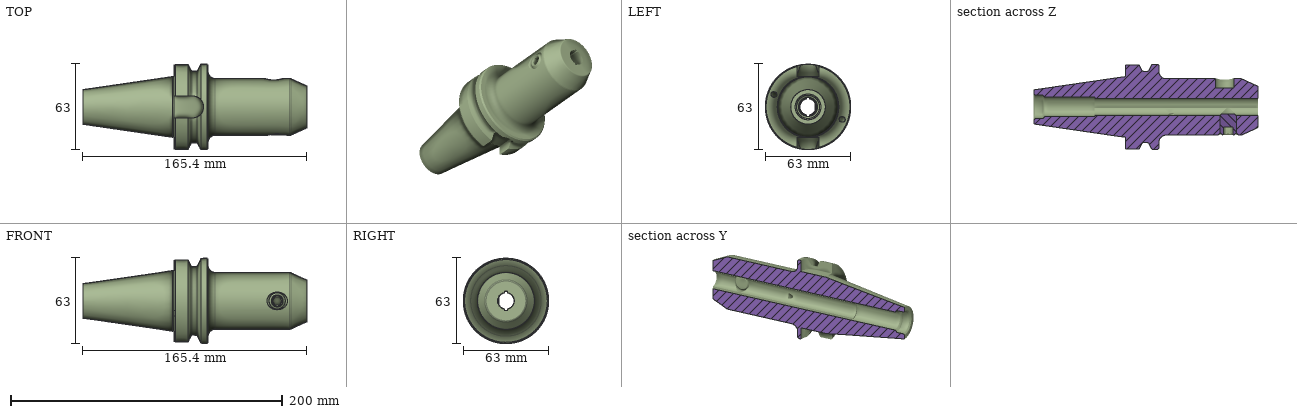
import cadquery as cq
import math

total_length = 165.4
taper_length = 66.3
taper_ratio = 7 / 24
taper_small_radius = 12.75
taper_large_radius = taper_small_radius + taper_length * taper_ratio / 2
relief_depth = 0.3
relief_rise = 0.6
relief_arc_radius = 1.2
flange_start = 67.4
flange_width = 25.0
flange_end = flange_start + flange_width
flange_radius = 63.0 / 2
flange_chamfer = 1.0
wide_flange_radius = 31.3
wide_flange_drop = 0.4
groove_radius = 53.0 / 2
groove_left_top = 77.6
groove_floor_start = 80.0
groove_floor_end = 84.4
groove_right_top = 87.0
groove_fillet = 1.0
body_radius = 42.0 / 2
body_fillet = 5.0
nose_start = 152.9
nose_end_radius = 15.3
nose_rounding = 1.0
shoulder_rounding = 2.0

ring_tolerance = 0.1

slot_width = 16.1
slot_floor = 22.6
slot_end = 89.0

mouth_radius = 19.0 / 2
mouth_chamfer = 1.0
counterbore_radius = 17.0 / 2
counterbore_depth = 6.7
thread_bore_radius = 14.0 / 2
thread_bore_end = 45.0
tool_bore_radius = 12.0 / 2
coolant_slot_width = 2.0
coolant_slot_radius = 7.0

coolant_hole_radius = 2.0
coolant_hole_circle = 26.8
coolant_hole_angle = 20.0
coolant_hole_slope = 30.0

screw_x = 143.3
screw_radius = 12.0 / 2
screw_head_height = 20.8
screw_tip_height = 5.0
screw_head_chamfer = 1.6
screw_tip_chamfer = 1.2
hex_size = 6.0
hex_depth = 6.0
hex_lead_in_radius = 4.0
screw_countersink_radius = 7.55

balance_hole_x = 140.8
balance_hole_radius = 13.4 / 2
balance_hole_floor = 14.0


def round_ring_edges(blank, first_x, last_x, radius):
    """Fillet the circular edges centred on the axis between two X positions."""
    ring_centres = cq.selectors.BoxSelector(
        (first_x - ring_tolerance, -ring_tolerance, -ring_tolerance),
        (last_x + ring_tolerance, ring_tolerance, ring_tolerance),
    )
    return blank.edges(ring_centres).fillet(radius)


def build_blank():
    """Turned outline of the taper, flange and cylindrical body."""
    relief_radius = taper_large_radius - relief_depth
    chamfer_radius = flange_radius - flange_chamfer
    fillet_side = body_fillet * (1 - math.sqrt(0.5))
    outline = (
        cq.Workplane("XY")
        .moveTo(0, 0)
        .lineTo(0, taper_small_radius)
        .lineTo(taper_length, taper_large_radius)
        .lineTo(taper_length, relief_radius)
        .radiusArc((flange_start, relief_radius + relief_rise), -relief_arc_radius)
        .lineTo(flange_start, wide_flange_radius - wide_flange_drop)
        .lineTo(flange_start + flange_chamfer, wide_flange_radius)
        .lineTo(groove_left_top, wide_flange_radius)
        .lineTo(groove_floor_start, groove_radius)
        .lineTo(groove_floor_end, groove_radius)
        .lineTo(groove_right_top, flange_radius)
        .lineTo(flange_end - flange_chamfer, flange_radius)
        .lineTo(flange_end, chamfer_radius)
        .lineTo(flange_end, body_radius + body_fillet)
        .threePointArc(
            (flange_end + fillet_side, body_radius + fillet_side),
            (flange_end + body_fillet, body_radius),
        )
        .lineTo(nose_start, body_radius)
        .lineTo(total_length, nose_end_radius)
        .lineTo(total_length, 0)
        .close()
    )
    blank = outline.revolve(360, (0, 0, 0), (1, 0, 0))
    blank = blank.faces(">X").edges().fillet(nose_rounding)
    blank = round_ring_edges(blank, groove_floor_start, groove_floor_end, groove_fillet)
    return round_ring_edges(blank, nose_start, nose_start, shoulder_rounding)


def build_bore():
    """Stepped bore from the taper end through to the nose."""
    lead_in_length = counterbore_radius - thread_bore_radius
    profile = (
        cq.Workplane("XY")
        .moveTo(0, 0)
        .lineTo(0, mouth_radius)
        .lineTo(mouth_chamfer, counterbore_radius)
        .lineTo(counterbore_depth, counterbore_radius)
        .lineTo(counterbore_depth + lead_in_length, thread_bore_radius)
        .lineTo(thread_bore_end, thread_bore_radius)
        .lineTo(thread_bore_end, tool_bore_radius)
        .lineTo(total_length, tool_bore_radius)
        .lineTo(total_length, 0)
        .close()
    )
    return profile.revolve(360, (0, 0, 0), (1, 0, 0))


def build_coolant_slots():
    """Narrow slots above and below the tool bore, open at the nose."""
    length = total_length - thread_bore_end
    return cq.Workplane("XY").box(
        length, coolant_slot_width, 2 * coolant_slot_radius
    ).translate((thread_bore_end + length / 2, 0, 0))


def build_key_slot():
    """Round-ended key slot on the +Z side of the flange."""
    end_radius = slot_width / 2
    straight_end = slot_end - end_radius
    return (
        cq.Workplane("XY", origin=(0, 0, slot_floor))
        .moveTo(taper_length, -end_radius)
        .lineTo(straight_end, -end_radius)
        .threePointArc((slot_end, 0), (straight_end, end_radius))
        .lineTo(taper_length, end_radius)
        .close()
        .extrude(flange_radius)
    )


def build_coolant_hole():
    """Inclined drilling from the flange face at +Y inward to the bore."""
    slope = math.radians(coolant_hole_slope)
    direction = cq.Vector(math.cos(slope), -math.sin(slope), 0)
    length = (coolant_hole_circle - tool_bore_radius) / math.sin(slope)
    lead = 2 * coolant_hole_radius
    face_point = cq.Vector(flange_start, coolant_hole_circle, 0)
    start = face_point - direction * lead
    hole = cq.Solid.makeCylinder(coolant_hole_radius, length + lead, start, direction)
    return cq.Workplane(hole).rotate((0, 0, 0), (1, 0, 0), coolant_hole_angle)


def point_to_minus_y(shape, x):
    """Turn a shape built along +Z so that it points along -Y at the given X."""
    return shape.rotate((0, 0, 0), (1, 0, 0), 90).translate((x, 0, 0))


def cone(height, base_radius, top_radius, base_height):
    base = cq.Vector(0, 0, base_height)
    return cq.Workplane(cq.Solid.makeCone(base_radius, top_radius, height, base))


def build_screw_hole():
    """Radial hole with a 90 degree countersink in the body surface."""
    countersink_depth = screw_countersink_radius - screw_radius
    hole = cq.Workplane("XY").circle(screw_radius).extrude(body_radius)
    countersink = cone(
        countersink_depth, screw_radius, screw_countersink_radius, body_radius - countersink_depth
    )
    return point_to_minus_y(hole.union(countersink), screw_x)


def build_balance_hole():
    return (
        cq.Workplane("XZ", origin=(balance_hole_x, balance_hole_floor, 0))
        .circle(balance_hole_radius)
        .extrude(-body_radius)
    )


def build_screw():
    """Set screw with a hexagon socket and chamfered ends."""
    screw = (
        cq.Workplane("XY", origin=(0, 0, screw_tip_height))
        .circle(screw_radius)
        .extrude(screw_head_height - screw_tip_height)
        .faces(">Z").chamfer(screw_head_chamfer)
        .faces("<Z").chamfer(screw_tip_chamfer)
    )
    hex_floor = screw_head_height - hex_depth
    hex_diameter = hex_size / math.cos(math.pi / 6)
    socket = cq.Workplane("XY", origin=(0, 0, hex_floor)).polygon(6, hex_diameter).extrude(hex_depth)
    lead_in_depth = hex_lead_in_radius - hex_size / 2
    lead_in = cone(lead_in_depth, hex_size / 2, hex_lead_in_radius, screw_head_height - lead_in_depth)
    return point_to_minus_y(screw.cut(socket).cut(lead_in), screw_x)


holder = build_blank().cut(build_bore()).cut(build_coolant_slots())
for angle in (0, 180):
    holder = holder.cut(build_key_slot().rotate((0, 0, 0), (1, 0, 0), angle))
    holder = holder.cut(build_coolant_hole().rotate((0, 0, 0), (1, 0, 0), angle))
holder = holder.cut(build_screw_hole()).cut(build_balance_hole())
clamping_screw = build_screw()

result = cq.Compound.makeCompound([holder.val(), clamping_screw.val()])